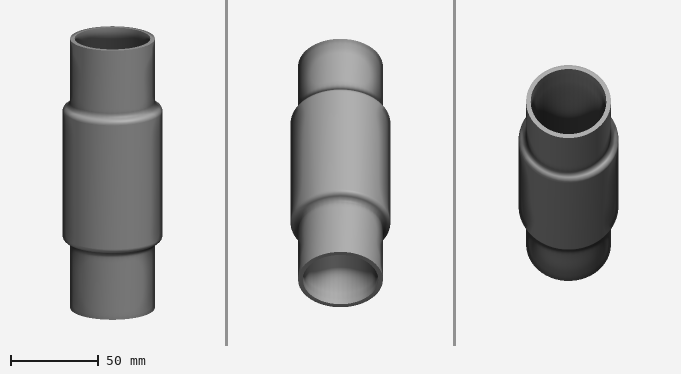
import cadquery as cq
import math

total_length = 160.0
body_diameter = 57.0
pipe_diameter = 48.3
bore_diameter = 43.0
pipe_end_length = 37.3
shoulder_radius = 3.0

body_radius = body_diameter / 2
pipe_radius = pipe_diameter / 2
bore_radius = bore_diameter / 2
middle_radius = (body_radius + pipe_radius) / 2
arc_step = (body_radius - pipe_radius) / 2
arc_angle = math.acos(1 - arc_step / shoulder_radius)
arc_height = shoulder_radius * math.sin(arc_angle)

half_arc_step = shoulder_radius * (1 - math.cos(arc_angle / 2))
half_arc_height = shoulder_radius * math.sin(arc_angle / 2)

pipe_end_z = total_length / 2
shoulder_top_z = pipe_end_z - pipe_end_length
shoulder_middle_z = shoulder_top_z - arc_height
shoulder_bottom_z = shoulder_middle_z - arc_height


def make_wall_section():
    """Outline the wall on one side of the axis: straight bore, pipe ends, shoulders and body."""
    body_arc_radius = body_radius - half_arc_step
    pipe_arc_radius = pipe_radius + half_arc_step
    body_arc_z = shoulder_bottom_z + half_arc_height
    pipe_arc_z = shoulder_top_z - half_arc_height
    return (
        cq.Workplane("XZ")
        .moveTo(bore_radius, -pipe_end_z)
        .lineTo(pipe_radius, -pipe_end_z)
        .lineTo(pipe_radius, -shoulder_top_z)
        .threePointArc((pipe_arc_radius, -pipe_arc_z), (middle_radius, -shoulder_middle_z))
        .threePointArc((body_arc_radius, -body_arc_z), (body_radius, -shoulder_bottom_z))
        .lineTo(body_radius, shoulder_bottom_z)
        .threePointArc((body_arc_radius, body_arc_z), (middle_radius, shoulder_middle_z))
        .threePointArc((pipe_arc_radius, pipe_arc_z), (pipe_radius, shoulder_top_z))
        .lineTo(pipe_radius, pipe_end_z)
        .lineTo(bore_radius, pipe_end_z)
        .close()
    )


result = make_wall_section().revolve(360, (0, 0, 0), (0, 1, 0))